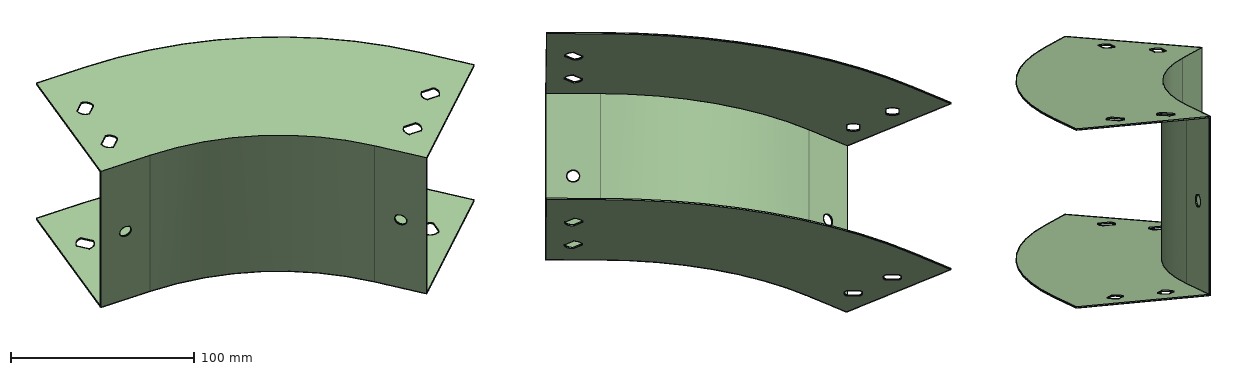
import cadquery as cq
import math

width = 80.0
height = 100.0
sheet = 0.8

bend_angle = 45.0
end_length = 30.0
inner_radius = 160.11
outer_radius = inner_radius + width

hole_setback = 15.0
flange_hole_offsets = (30.0, 60.0)
flange_hole_length = 10.0
flange_hole_width = 7.0
flange_hole_tilt = 45.0
wall_hole_diameter = 7.0

center_x = width + inner_radius
center_y = end_length


def bend_point(radius, angle, advance=0.0):
    """Point on the bend at an angle, moved forward along the tangent there."""
    a = math.radians(angle)
    x = center_x - radius * math.cos(a) + advance * math.sin(a)
    y = center_y + radius * math.sin(a) + advance * math.cos(a)
    return (x, y)


def curved_plate(small_radius, large_radius, thickness):
    """Flat plate following the path between two concentric radii."""
    return (
        cq.Workplane("XY")
        .moveTo(*bend_point(large_radius, 0, -end_length))
        .lineTo(*bend_point(large_radius, 0))
        .threePointArc(
            bend_point(large_radius, bend_angle / 2),
            bend_point(large_radius, bend_angle),
        )
        .lineTo(*bend_point(large_radius, bend_angle, end_length))
        .lineTo(*bend_point(small_radius, bend_angle, end_length))
        .lineTo(*bend_point(small_radius, bend_angle))
        .threePointArc(
            bend_point(small_radius, bend_angle / 2),
            bend_point(small_radius, 0),
        )
        .lineTo(*bend_point(small_radius, 0, -end_length))
        .close()
        .extrude(thickness)
    )


def flange_hole(offset, tilt, z):
    """Cutter for a round hole with two flats, its long axis tilted from X."""
    round_part = cq.Workplane("XY").circle(flange_hole_length / 2).extrude(sheet)
    flats = cq.Workplane("XY").rect(flange_hole_length, flange_hole_width).extrude(sheet)
    cutter = round_part.intersect(flats)
    return cutter.rotate((0, 0, 0), (0, 0, 1), tilt).translate((offset, hole_setback, z))


def wall_hole():
    """Cutter for the round hole through the wall at half height."""
    return (
        cq.Workplane("YZ", origin=(width - sheet, 0, 0))
        .center(hole_setback, height / 2)
        .circle(wall_hole_diameter / 2)
        .extrude(sheet)
    )


def first_end_holes():
    """All hole cutters at the first end."""
    cutters = [wall_hole()]
    for offset in flange_hole_offsets:
        cutters.append(flange_hole(offset, flange_hole_tilt, 0))
        cutters.append(flange_hole(offset, -flange_hole_tilt, height - sheet))
    return cutters


def to_second_end(cutter):
    """Slide to just past the first straight, then swing round the bend centre."""
    axis_start = (center_x, center_y, 0)
    axis_end = (center_x, center_y, height)
    setback_shift = (0, 2 * (end_length - hole_setback), 0)
    return cutter.translate(setback_shift).rotate(axis_start, axis_end, -bend_angle)


bottom_flange = curved_plate(inner_radius, outer_radius, sheet)
top_flange = bottom_flange.translate((0, 0, height - sheet))
wall = curved_plate(inner_radius, inner_radius + sheet, height)
result = bottom_flange.union(top_flange).union(wall)

for cutter in first_end_holes():
    result = result.cut(cutter)
    result = result.cut(to_second_end(cutter))